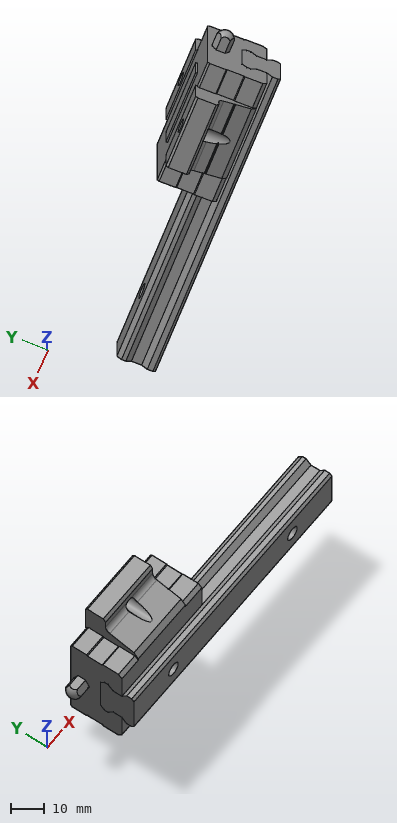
import cadquery as cq
import math


rail_length = 99.9
rail_half_width = 7.5
rail_depth = 12.4
rail_waist_half_width = 5.7
rail_waist_start = 4.5
rail_waist_end = 7.7
rail_front_chamfer = 0.8
rail_back_chamfer = 1.5
rail_hole_diameter = 4.8
rail_hole_inset = 19.9

carriage_length = 40.3
carriage_center_x = carriage_length / 2
carriage_front = rail_waist_start

plate_half_height = 16.4
plate_back = 23.5
plate_front_chamfer = 1.3
plate_back_chamfer = 0.6
plate_groove_start = 11.5
plate_groove_end = 17.5
plate_groove_depth = 0.3

block_length = 23.8
block_half_height = 26.0
block_back = 24.0
block_back_chamfer = 0.7
flange_front = 16.5
flange_chamfer_y = 0.8
flange_chamfer_z = 1.2
flange_root_radius = 2.1
shoulder_y = 6.0
shoulder_z = 17.8
front_corner_z = 15.9
side_slope = math.radians(15)
notch_y = 11.4
notch_width = 0.6
notch_depth = 0.3
flange_hole_diameter = 4.1
flange_hole_z = 20.5
channel_inner_z = 4.4
channel_outer_z = 15.5

nipple_y = 19.3
nipple_length = 6.2
nipple_across_flats = 4.9
nipple_dome_diameter = 5.8
plug_sphere_diameter = 8.0
plug_height = 1.0


def extrude_yz(points, x_start, length):
    """Extrude a closed outline of (y, z) points along +X."""
    return cq.Workplane("YZ", origin=(x_start, 0, 0)).polyline(points).close().extrude(length)


def mirrored(half_outline):
    """Close an outline of (y, z) points, given for +Z, by its mirror image."""
    return half_outline + [(y, -z) for y, z in reversed(half_outline)]


def cylinder_y(diameter, x, z):
    """Cylinder parallel to Y, long enough to pass through the whole guide."""
    return cq.Workplane("XZ", origin=(x, 0, z)).circle(diameter / 2).extrude(-block_back)


def rail_bar(length):
    flare = rail_half_width - rail_waist_half_width
    return extrude_yz(mirrored([
        (0, rail_half_width - rail_front_chamfer),
        (rail_front_chamfer, rail_half_width),
        (rail_waist_start - flare, rail_half_width),
        (rail_waist_start, rail_waist_half_width),
        (rail_waist_end, rail_waist_half_width),
        (rail_waist_end + flare, rail_half_width),
        (rail_depth - rail_back_chamfer, rail_half_width),
        (rail_depth, rail_half_width - rail_back_chamfer),
    ]), 0, length)


def make_rail():
    rail = rail_bar(rail_length)
    for x in (rail_hole_inset, rail_length - rail_hole_inset):
        rail = rail.cut(cylinder_y(rail_hole_diameter, x, 0))
    return rail


def plate_bar():
    groove_z = plate_half_height - plate_groove_depth
    return extrude_yz(mirrored([
        (carriage_front, plate_half_height - plate_front_chamfer),
        (carriage_front + plate_front_chamfer, plate_half_height),
        (plate_groove_start, plate_half_height),
        (plate_groove_start + plate_groove_depth, groove_z),
        (plate_groove_end - plate_groove_depth, groove_z),
        (plate_groove_end, plate_half_height),
        (plate_back - plate_back_chamfer, plate_half_height),
        (plate_back, plate_half_height - plate_back_chamfer),
    ]), 0, carriage_length)


def slope_notch(x_start):
    slope_z = shoulder_z + (notch_y - shoulder_y) * math.tan(side_slope)
    return extrude_yz([
        (notch_y - notch_width / 2, -slope_z - notch_depth),
        (notch_y + notch_width / 2, -slope_z - notch_depth),
        (notch_y + notch_width / 2, -slope_z),
        (notch_y, -slope_z + notch_depth),
        (notch_y - notch_width / 2, -slope_z),
    ], x_start, block_length)


def flanged_block():
    block_start = carriage_center_x - block_length / 2
    root_z = shoulder_z + (flange_front - shoulder_y) * math.tan(side_slope)
    block = extrude_yz(mirrored([
        (carriage_front, front_corner_z),
        (shoulder_y, shoulder_z),
        (flange_front, root_z),
        (flange_front, block_half_height - flange_chamfer_z),
        (flange_front + flange_chamfer_y, block_half_height),
        (block_back - block_back_chamfer, block_half_height),
        (block_back, block_half_height - block_back_chamfer),
    ]), block_start, block_length)

    for side in (1, -1):
        root_edge = cq.selectors.NearestToPointSelector((carriage_center_x, flange_front, side * root_z))
        block = block.edges("|X").edges(root_edge).fillet(flange_root_radius)

    for side in (1, -1):
        block = block.cut(cylinder_y(flange_hole_diameter, carriage_center_x, side * flange_hole_z))
        channel = cq.Workplane("XY").box(
            block_length, block_back - plate_back, channel_outer_z - channel_inner_z
        ).translate((
            carriage_center_x,
            (block_back + plate_back) / 2,
            side * (channel_outer_z + channel_inner_z) / 2,
        ))
        block = block.cut(channel)
    return block.cut(slope_notch(block_start))


def grease_nipple():
    """Hexagonal stub, corners toward +Y and -Y, with a spherical tip."""
    dome_radius = nipple_dome_diameter / 2
    across_corners = nipple_across_flats / math.cos(math.pi / 6)
    dome_x = dome_radius - nipple_length
    hexagon = (
        cq.Workplane("YZ", origin=(-nipple_length, nipple_y, 0))
        .polygon(6, across_corners)
        .extrude(nipple_length)
    )
    round_bar = (
        cq.Workplane("YZ", origin=(dome_x, nipple_y, 0))
        .circle(dome_radius)
        .extrude(-dome_x)
    )
    dome = cq.Workplane("XY").sphere(dome_radius).translate((dome_x, nipple_y, 0))
    return hexagon.intersect(round_bar.union(dome))


def domed_plug():
    """Spherical cap standing out of the far end plate."""
    radius = plug_sphere_diameter / 2
    base_radius = math.sqrt(radius**2 - (radius - plug_height)**2)
    half_angle = math.asin(base_radius / radius) / 2
    arc_middle = (
        plug_height - radius * (1 - math.cos(half_angle)),
        radius * math.sin(half_angle),
    )
    return (
        cq.Workplane("XY", origin=(carriage_length, nipple_y, 0))
        .lineTo(plug_height, 0)
        .threePointArc(arc_middle, (0, base_radius))
        .close()
        .revolve(360, (0, 0, 0), (1, 0, 0))
    )


def make_carriage():
    body = plate_bar().union(flanged_block())
    body = body.cut(rail_bar(carriage_length))
    return body.union(grease_nipple()).union(domed_plug())


rail = make_rail()
carriage = make_carriage()

result = cq.Compound.makeCompound([rail.solids().val(), carriage.solids().val()])